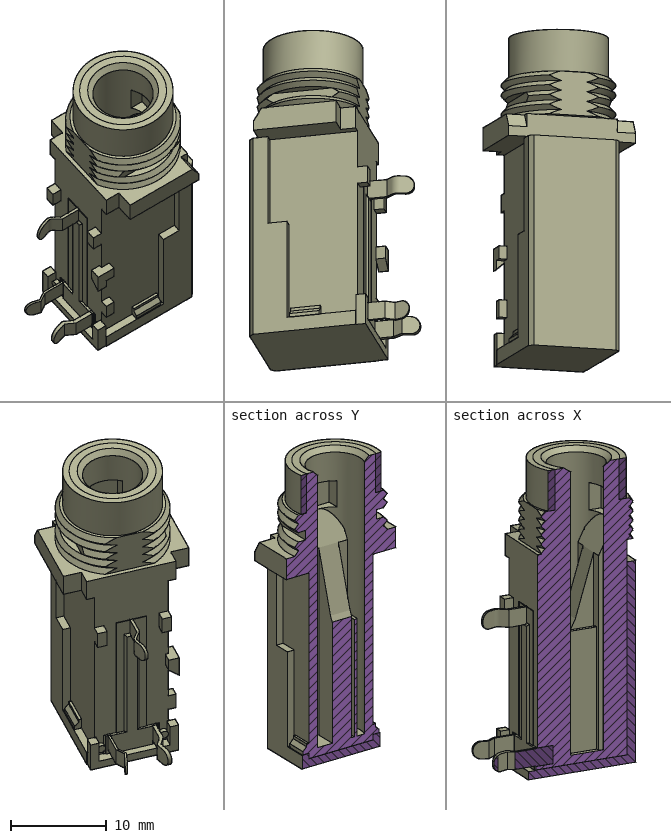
import cadquery as cq

total_height = 33.85
outer_width = 9.9
core_width = 8.2
front_y = -5.8
core_back_y = 4.7
cover_wall = 1.0
cover_floor = 0.95
flange_bottom_z = 22.32
flange_top_z = 24.75
flange_width = 13.9

thread_crest_radius = 6.0
thread_root_radius = 5.53
thread_turns = 4.5
neck_flat_y = 5.35
thread_notch_half_width = 4.54
ferrule_bottom_z = 29.38
ferrule_outer_radius = 5.22
tube_radius = 4.53
bore_radius = 3.14
bore_mouth_chamfer = 0.55
bore_floor_z = 2.0

front_frame_y = -6.84
panel_y = -5.87
ridge_y = -6.1
block_top_z = 3.4
upper_feature_top_z = 18.26

contact_height = 1.95
contact_tip_y = -10.9
contact_root_y = -4.0
lower_contact_z = 2.38
upper_contact_z = upper_feature_top_z - contact_height / 2

outer_half = outer_width / 2
core_half = core_width / 2
thread_pitch = (ferrule_bottom_z - flange_top_z) / thread_turns


def block(x_min, x_max, y_min, y_max, z_min, z_max):
    """Box given by its limits along each axis."""
    return (
        cq.Workplane("XY")
        .box(x_max - x_min, y_max - y_min, z_max - z_min, centered=False)
        .translate((x_min, y_min, z_min))
    )


def extrude_along_x(points, x_min, x_max):
    """Prism along X from an outline of (Y, Z) points."""
    return cq.Workplane("YZ", origin=(x_min, 0, 0)).polyline(points).close().extrude(x_max - x_min)


def extrude_along_y(points, y_min, y_max):
    """Prism along Y from an outline of (X, Z) points."""
    return cq.Workplane("XZ", origin=(0, y_max, 0)).polyline(points).close().extrude(y_max - y_min)


def cylinder(radius, z_min, z_max):
    return cq.Workplane("XY", origin=(0, 0, z_min)).circle(radius).extrude(z_max - z_min)


contact_tip_radius = 0.9


def make_contact(leg_end, knee, tip_x, thickness, mid_z, knee_radius=0):
    """Upright strip whose mid-line runs straight to `leg_end`, kinks at `knee` and ends at `tip_x`."""
    path = [(leg_end[0], contact_root_y), leg_end, knee, (tip_x, contact_tip_y)]
    left_edge = [(x - thickness / 2, y) for x, y in path]
    right_edge = [(x + thickness / 2, y) for x, y in path]
    bottom_z = mid_z - contact_height / 2
    strip = (
        cq.Workplane("XY", origin=(0, 0, bottom_z))
        .polyline(left_edge + right_edge[::-1])
        .close()
        .extrude(contact_height)
    )
    if knee_radius:
        for side, radius in ((-1, knee_radius + thickness), (1, knee_radius)):
            corner = (knee[0] + side * thickness / 2, knee[1], mid_z)
            strip = strip.edges(cq.selectors.NearestToPointSelector(corner)).fillet(radius)
    outline = (
        block(-core_half, core_half, contact_tip_y, contact_root_y, bottom_z, bottom_z + contact_height)
        .edges("|X and <Y")
        .fillet(contact_tip_radius)
    )
    return strip.intersect(outline)


def make_ferrule():
    ring = cylinder(ferrule_outer_radius, ferrule_bottom_z, total_height)
    return ring.cut(cylinder(tube_radius, ferrule_bottom_z, total_height))


side_wall_front_y = 3.63
side_wall_step_y = 1.6
side_wall_step_z = 12.48
side_rail_z = 1.58
back_corner_chamfer = 0.45
post_inner_x = 3.93
post_outer_x = 4.87


def make_cover():
    back_y = core_back_y + cover_wall
    cover = block(-outer_half, outer_half, core_back_y, back_y, 0, flange_bottom_z)
    cover = cover.edges("|Z and >Y").chamfer(back_corner_chamfer)
    cover = cover.union(block(-outer_half, outer_half, front_y, core_back_y, 0, cover_floor))
    cover = cover.union(block(-post_outer_x, post_outer_x, front_frame_y, front_y, 0, cover_floor))
    side_outline = [
        (core_back_y, 0),
        (front_y, 0),
        (front_y, side_rail_z),
        (side_wall_step_y, side_rail_z),
        (side_wall_step_y, side_wall_step_z),
        (side_wall_front_y, side_wall_step_z),
        (side_wall_front_y, flange_bottom_z),
        (core_back_y, flange_bottom_z),
    ]
    for wall_x, post_x in ((-outer_half, -post_outer_x), (core_half, post_inner_x)):
        cover = cover.union(extrude_along_x(side_outline, wall_x, wall_x + outer_half - core_half))
        post_end_x = post_x + post_outer_x - post_inner_x
        cover = cover.union(block(post_x, post_end_x, front_frame_y, front_y, 0, block_top_z))
    return cover


wing_front_y = -4.18
wing_chamfer_depth = 0.85
wing_chamfer_drop = 1.4


def make_flange():
    flange = block(-outer_half, outer_half, front_y, core_back_y, flange_bottom_z, flange_top_z)
    wing_outline = [
        (wing_front_y, flange_bottom_z),
        (wing_front_y, flange_top_z),
        (core_back_y - wing_chamfer_depth, flange_top_z),
        (core_back_y, flange_top_z - wing_chamfer_drop),
        (core_back_y, flange_bottom_z),
    ]
    wing_length = flange_width / 2 - outer_half
    for wing_x in (-flange_width / 2, outer_half):
        flange = flange.union(extrude_along_x(wing_outline, wing_x, wing_x + wing_length))
    return flange


def make_neck():
    """Ring-grooved neck with front and back flats, and the plain tube inside the ferrule."""
    profile = [(0, flange_top_z)]
    for half_turn in range(int(2 * thread_turns) + 1):
        radius = thread_root_radius if half_turn % 2 else thread_crest_radius
        profile.append((radius, flange_top_z + half_turn * thread_pitch / 2))
    profile.append((0, ferrule_bottom_z))
    neck = cq.Workplane("XZ").polyline(profile).close().revolve(360, (0, 0, 0), (0, 1, 0))
    reach = thread_crest_radius
    neck = neck.intersect(
        block(-reach, reach, -neck_flat_y, neck_flat_y, flange_top_z, ferrule_bottom_z)
    )
    notch_bottom_z = flange_top_z + 1.5 * thread_pitch
    notch_top_z = notch_bottom_z + thread_pitch
    for notch_x in (-reach, thread_notch_half_width):
        notch_end_x = notch_x + reach - thread_notch_half_width
        neck = neck.cut(block(notch_x, notch_end_x, -reach, reach, notch_bottom_z, notch_top_z))
    return neck.union(cylinder(tube_radius, ferrule_bottom_z, total_height))


lug_inner_x = 3.05
lug_bottom_z = 16.4
panel_half_width = 1.68
ridge_base_half_width = 0.84
ridge_face_half_width = 0.58
ridge_top_z = 16.26
block_half_width = 2.3
shoulder_half_width = 2.86
shoulder_y = -6.0
footing_half_width = 3.08
peg_radius = 0.46
peg_z = 2.03
peg_length = 0.5
peg_x = post_inner_x - peg_radius


def make_ridge():
    """Upright ridge on the panel, bevelled along both sides and at its upper end."""
    bevel = ridge_base_half_width - ridge_face_half_width
    section = [
        (-ridge_base_half_width, panel_y),
        (-ridge_face_half_width, ridge_y),
        (ridge_face_half_width, ridge_y),
        (ridge_base_half_width, panel_y),
    ]
    ridge = (
        cq.Workplane("XY", origin=(0, 0, cover_floor))
        .polyline(section)
        .close()
        .extrude(ridge_top_z + bevel - cover_floor)
    )
    side_outline = [
        (panel_y, cover_floor),
        (panel_y, ridge_top_z + bevel),
        (ridge_y, ridge_top_z),
        (ridge_y, cover_floor),
    ]
    return ridge.intersect(
        extrude_along_x(side_outline, -ridge_base_half_width, ridge_base_half_width)
    )


def make_front_details():
    details = block(
        -panel_half_width, panel_half_width, panel_y, front_y, cover_floor, upper_feature_top_z
    )
    details = details.union(make_ridge())
    for half_width, face_y in (
        (footing_half_width, panel_y),
        (shoulder_half_width, shoulder_y),
        (block_half_width, ridge_y),
    ):
        details = details.union(block(-half_width, half_width, face_y, front_y, cover_floor, block_top_z))
    for lug_x in (-core_half, lug_inner_x):
        lug_end_x = lug_x + core_half - lug_inner_x
        details = details.union(
            block(lug_x, lug_end_x, front_frame_y, front_y, lug_bottom_z, upper_feature_top_z)
        )
    for x in (-peg_x, peg_x):
        peg = cq.Workplane("XZ", origin=(x, front_y, peg_z)).circle(peg_radius).extrude(peg_length)
        details = details.union(peg)
    return details


hook_inner_x = 3.77
hook_flat_bottom_z = 11.1
hook_tip_z = 10.1
tab_bottom_z = 4.9
tab_top_z = 6.75
tab_depth = 1.0
catch_front_y = -1.84
catch_back_y = 1.32
catch_top_z = 2.8
catch_slope_top_z = 2.47
catch_slope_bottom_z = 2.0
catch_upper_depth = 0.3
catch_lower_depth = 0.75


def make_side_details():
    """Hook and tab on the +X side, and a catch on each side above the cover rail."""
    hook_outline = [
        (hook_inner_x, side_wall_step_z),
        (outer_half, side_wall_step_z),
        (outer_half, hook_tip_z),
        (hook_inner_x, hook_flat_bottom_z),
    ]
    details = extrude_along_y(hook_outline, front_frame_y, front_y)
    details = details.union(
        block(core_half, outer_half, front_y, front_y + tab_depth, hook_flat_bottom_z, side_wall_step_z)
    )
    details = details.union(
        block(core_half, outer_half, front_y, front_y + tab_depth, tab_bottom_z, tab_top_z)
    )
    for side in (-1, 1):
        catch_outline = [
            (side * core_half, side_rail_z),
            (side * (core_half + catch_lower_depth), side_rail_z),
            (side * (core_half + catch_lower_depth), catch_slope_bottom_z),
            (side * (core_half + catch_upper_depth), catch_slope_top_z),
            (side * (core_half + catch_upper_depth), catch_top_z),
            (side * core_half, catch_top_z),
        ]
        details = details.union(extrude_along_y(catch_outline, catch_front_y, catch_back_y))
    return details


window_half_width = 1.95
window_back_y = 3.9
window_roof_z = 30.0
ramp_left_x = -2.3
ramp_right_x = 2.5
ramp_top_z = 27.0
ramp_foot_y = 1.36
ramp_foot_z = 23.5
tongue_left_x = -1.12
tongue_right_x = 1.35
tongue_knee_y = -0.78
tongue_knee_z = 16.5
tongue_tip_y = -1.3
tongue_tip_z = 15.5
rib_left_x = 1.65
rib_right_x = 2.05
ledge_back_y = -2.3
ledge_top_z = 15.5


def make_bore():
    """Plug bore with a flared mouth and a window above the ramp and tongue at its back."""
    bore = cylinder(bore_radius, bore_floor_z, total_height)
    mouth = (
        cq.Workplane("XY", origin=(0, 0, total_height))
        .circle(bore_radius + bore_mouth_chamfer)
        .workplane(offset=-bore_mouth_chamfer)
        .circle(bore_radius)
        .loft()
    )
    ramp_outline = [
        (bore_radius, bore_floor_z),
        (bore_radius, ramp_top_z),
        (ramp_foot_y, ramp_foot_z),
        (ramp_foot_y, bore_floor_z),
    ]
    tongue_outline = [
        (ramp_foot_y, bore_floor_z),
        (ramp_foot_y, ramp_foot_z),
        (tongue_knee_y, tongue_knee_z),
        (tongue_tip_y, tongue_tip_z),
        (tongue_tip_y, bore_floor_z),
    ]
    bore = bore.cut(extrude_along_x(ramp_outline, ramp_left_x, ramp_right_x))
    bore = bore.cut(extrude_along_x(tongue_outline, tongue_left_x, tongue_right_x))
    bore = bore.cut(
        block(rib_left_x, rib_right_x, ledge_back_y, ramp_foot_y, bore_floor_z, ledge_top_z)
    )
    bore = bore.cut(
        block(-rib_right_x, rib_right_x, -bore_radius, ledge_back_y, bore_floor_z, ledge_top_z)
    )
    window = block(
        -window_half_width, window_half_width, ramp_foot_y, window_back_y, ramp_top_z, window_roof_z
    )
    return bore.union(mouth).union(window)


def make_housing(contact_bodies):
    housing = block(-core_half, core_half, front_y, core_back_y, cover_floor, flange_bottom_z)
    housing = housing.union(make_flange())
    housing = housing.union(make_neck())
    housing = housing.union(make_front_details())
    housing = housing.union(make_side_details())
    housing = housing.cut(make_bore())
    for contact in contact_bodies:
        housing = housing.cut(contact)
    return housing


contacts = [
    make_contact(
        leg_end=(-2.5, -8.35), knee=(-1.9, -9.3), tip_x=-2.36, thickness=0.25, mid_z=lower_contact_z
    ),
    make_contact(
        leg_end=(0, -7.95), knee=(-0.78, -9), tip_x=-0.12, thickness=0.32, mid_z=upper_contact_z,
        knee_radius=0.6,
    ),
    make_contact(
        leg_end=(2.5, -8.06), knee=(1.9, -9.1), tip_x=2.45, thickness=0.44, mid_z=lower_contact_z
    ),
]
ferrule = make_ferrule()
cover = make_cover()
housing = make_housing(contacts)

result = cq.Compound.makeCompound(
    [housing.val(), cover.val(), ferrule.val(), *[contact.val() for contact in contacts]]
)